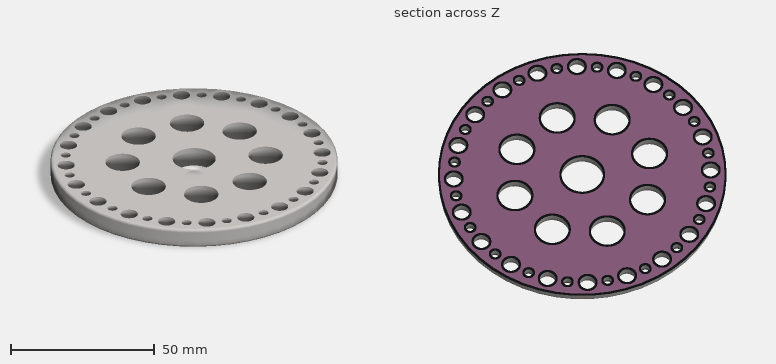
import cadquery as cq

DISC_DIAMETER = 100.0
DISC_THICKNESS = 7.0
RIM_FILLET = 1.0

BORE_DIAMETER = 15.0

LARGE_HOLE_DIAMETER = 12.0
LARGE_HOLE_COUNT = 8
LARGE_HOLE_RING_RADIUS = DISC_DIAMETER / 4

MEDIUM_HOLE_DIAMETER = 6.0
SMALL_HOLE_DIAMETER = 3.5
OUTER_HOLE_COUNT = 20
OUTER_RING_RADIUS = 44.75
OUTER_HOLE_PITCH = 360.0 / OUTER_HOLE_COUNT


def make_disc():
    """Plain disc standing on Z = 0 with both rim edges rounded."""
    disc = cq.Workplane("XY").circle(DISC_DIAMETER / 2).extrude(DISC_THICKNESS)
    return disc.edges().fillet(RIM_FILLET)


def ring_of_pins(ring_radius, diameter, count, start_angle=0.0):
    """Cutting cylinders through the full thickness, evenly spaced on a ring."""
    ring = cq.Workplane("XY").polarArray(ring_radius, start_angle, 360, count)
    return ring.circle(diameter / 2).extrude(DISC_THICKNESS)


def cut_bore(body):
    bore = cq.Workplane("XY").circle(BORE_DIAMETER / 2).extrude(DISC_THICKNESS)
    return body.cut(bore)


def cut_inner_ring(body):
    return body.cut(ring_of_pins(LARGE_HOLE_RING_RADIUS, LARGE_HOLE_DIAMETER, LARGE_HOLE_COUNT))


def cut_outer_ring(body):
    small = ring_of_pins(OUTER_RING_RADIUS, SMALL_HOLE_DIAMETER, OUTER_HOLE_COUNT)
    medium = ring_of_pins(
        OUTER_RING_RADIUS, MEDIUM_HOLE_DIAMETER, OUTER_HOLE_COUNT, OUTER_HOLE_PITCH / 2
    )
    return body.cut(small).cut(medium)


result = cut_outer_ring(cut_inner_ring(cut_bore(make_disc())))